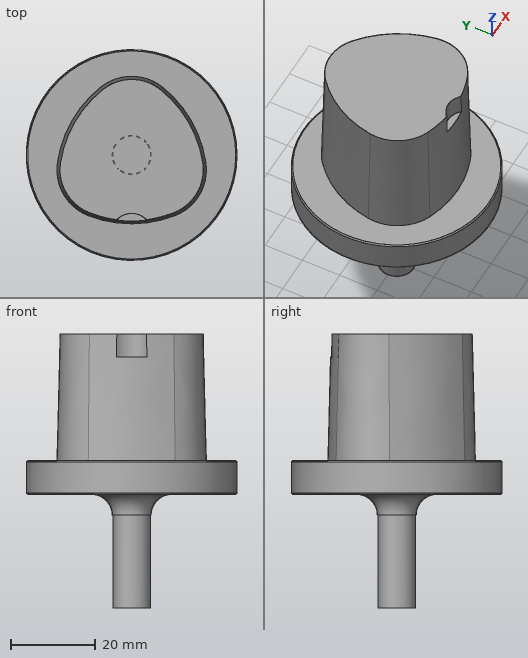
import cadquery as cq
import math

total_height = 65.0
flange_bottom = 27.0
flange_top = 35.0

pin_radius = 9.0 / 2
flange_radius = 50.0 / 2
flange_chamfer = 0.3
neck_radius = 4.6
flare_radius = 4.95

flat_distance = 16.3
tip_distance = 18.65
lobe_radius = 11.7
taper_angle = math.degrees(math.atan(1 / 40))

notch_radius = 4.9
notch_depth = 5.5
notch_back = 13.85


def polar(radius, degrees):
    angle = math.radians(degrees)
    return radius * math.cos(angle), radius * math.sin(angle)


def make_shaft():
    """Pin, flare and chamfered flange, revolved about Z."""
    flare_bottom = flange_bottom - flare_radius
    flare_center = neck_radius + flare_radius
    arc_offset = flare_radius * math.sqrt(0.5)
    flare_middle = (flare_center - arc_offset, flare_bottom + arc_offset)
    return (
        cq.Workplane("XZ")
        .lineTo(pin_radius, 0)
        .lineTo(pin_radius, flare_bottom)
        .lineTo(neck_radius, flare_bottom)
        .threePointArc(flare_middle, (flare_center, flange_bottom))
        .lineTo(flange_radius - flange_chamfer, flange_bottom)
        .lineTo(flange_radius, flange_bottom + flange_chamfer)
        .lineTo(flange_radius, flange_top - flange_chamfer)
        .lineTo(flange_radius - flange_chamfer, flange_top)
        .lineTo(0, flange_top)
        .close()
        .revolve(360, (0, 0), (0, 1))
    )


def make_plug():
    """Outline of alternating tangent lobe and side arcs, extruded with taper."""
    lobe_center = tip_distance - lobe_radius
    lobe_along, lobe_across = polar(lobe_center, 60)

    reach = flat_distance - lobe_along
    side_radius = (reach**2 + lobe_across**2 - lobe_radius**2) / (2 * (reach - lobe_radius))
    side_center = side_radius - flat_distance

    normal_angle = math.atan2(lobe_across, side_center + lobe_along)
    joint_along = side_radius * math.cos(normal_angle) - side_center
    joint_across = side_radius * math.sin(normal_angle)
    joint_distance = math.hypot(joint_along, joint_across)
    joint_angle = math.degrees(math.atan2(joint_across, joint_along))

    outline = cq.Workplane("XY", origin=(0, 0, flange_top))
    outline = outline.moveTo(*polar(joint_distance, -90 - joint_angle))
    for side_angle in (-90, 30, 150):
        side_end = polar(joint_distance, side_angle + joint_angle)
        lobe_end = polar(joint_distance, side_angle + 120 - joint_angle)
        outline = outline.threePointArc(polar(flat_distance, side_angle), side_end)
        outline = outline.threePointArc(polar(tip_distance, side_angle + 60), lobe_end)
    return outline.close().extrude(total_height - flange_top, taper=taper_angle)


def make_notch():
    return (
        cq.Workplane("XY", origin=(0, 0, total_height - notch_depth))
        .center(0, -notch_back - notch_radius)
        .circle(notch_radius)
        .extrude(notch_depth)
    )


result = make_shaft().union(make_plug()).cut(make_notch())